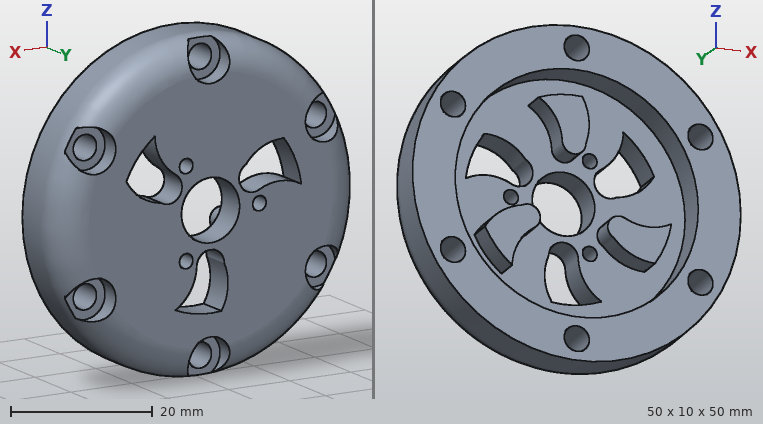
import cadquery as cq
import math

outer_diameter = 50
thickness = 10
front_y = -thickness / 2
back_y = thickness / 2
back_round = 5
recess_diameter = 37
recess_depth = 5
recess_floor_y = front_y + recess_depth
bore_diameter = 9.5

bolt_count = 6
bolt_circle_radius = 21.75
bolt_diameter = 3.8
counterbore_diameter = 6.6
counterbore_depth = 3
pin_count = 3
pin_circle_radius = 8
pin_diameter = 2.2

blade_count = 3
blade_pitch = 360 / blade_count
blade_tip_radius = 15
nose_center_radius = 8
window_nose_radius = 2.25
boss_nose_radius = 1.8
boss_height = 4
window_flanks = ((-2.85, 10.65), (2.9, 10.65))
window_tip_angles = (-6.8, 22.6)
boss_flanks = ((-2.3, 10.65), (2.45, 10.65))
boss_tip_angles = (-4.8, 21.0)
boss_first_angle = 0
window_first_angle = 180


def cylinder(diameter, start_y, end_y, x=0, z=0):
    """Cylinder along +Y between two Y positions."""
    base = cq.Workplane("XZ", origin=(x, start_y, z))
    return base.circle(diameter / 2).extrude(start_y - end_y)


def ring_points(count, radius, first_angle):
    """(x, z) positions evenly spaced on a circle."""
    angles = [math.radians(first_angle + i * 360 / count) for i in range(count)]
    return [(radius * math.cos(a), radius * math.sin(a)) for a in angles]


def blade(nose_radius, flanks, tip_angles, start_y, end_y, turn):
    """Blade along +Z, sweeping to -X at its tip, then turned about the Y axis."""

    def tip_point(angle):
        a = math.radians(angle)
        return (-blade_tip_radius * math.sin(a), blade_tip_radius * math.cos(a))

    (convex_side, convex_out), (hollow_side, hollow_out) = flanks
    convex_tip, hollow_tip = tip_angles
    outline = (
        cq.Workplane("XZ", origin=(0, start_y, 0))
        .moveTo(nose_radius, nose_center_radius)
        .threePointArc((-convex_side, convex_out), tip_point(convex_tip))
        .threePointArc(tip_point((convex_tip + hollow_tip) / 2), tip_point(hollow_tip))
        .threePointArc((-hollow_side, hollow_out), (-nose_radius, nose_center_radius))
        .threePointArc((0, nose_center_radius - nose_radius), (nose_radius, nose_center_radius))
        .close()
    )
    return outline.extrude(start_y - end_y).rotate((0, 0, 0), (0, 1, 0), turn)


result = cylinder(outer_diameter, front_y, back_y).faces(">Y").edges().fillet(back_round)
result = result.cut(cylinder(recess_diameter, front_y, recess_floor_y))
result = result.cut(cylinder(bore_diameter, front_y, back_y))

for x, z in ring_points(bolt_count, bolt_circle_radius, 90):
    result = result.cut(cylinder(bolt_diameter, front_y, back_y, x, z))
    result = result.cut(cylinder(counterbore_diameter, back_y - counterbore_depth, back_y, x, z))

for x, z in ring_points(pin_count, pin_circle_radius, 180):
    result = result.cut(cylinder(pin_diameter, front_y, back_y, x, z))

for i in range(blade_count):
    window_turn = window_first_angle + i * blade_pitch
    window = blade(window_nose_radius, window_flanks, window_tip_angles, recess_floor_y, back_y, window_turn)
    result = result.cut(window)
    boss_turn = boss_first_angle + i * blade_pitch
    boss_top_y = recess_floor_y - boss_height
    boss = blade(boss_nose_radius, boss_flanks, boss_tip_angles, boss_top_y, recess_floor_y, boss_turn)
    result = result.union(boss)